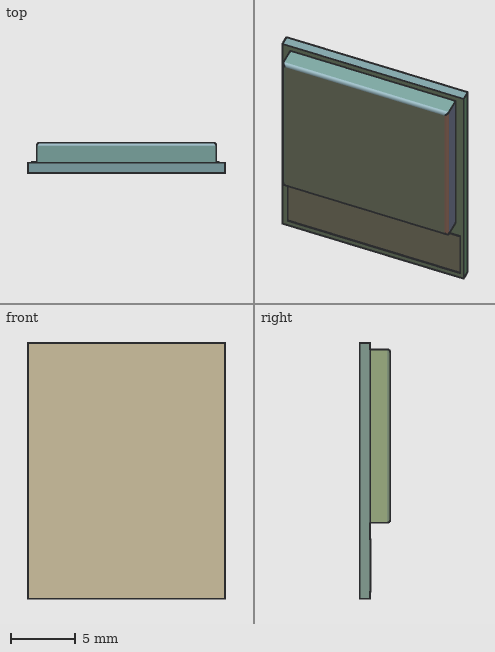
import cadquery as cq

board_width = 15.4
board_thickness = 0.82
board_height = 20.0

overall_depth = 2.4
can_width = 14.05
can_height = 13.55
can_top_margin = 0.5
can_edge_fillet = 0.25
can_depth = overall_depth - board_thickness

trace_thickness = 0.05
trace_left_margin = 0.28
trace_right_margin = 0.48
trace_height = 4.08
trace_bottom_margin = 0.55
trace_width = board_width - trace_left_margin - trace_right_margin


def block_on_board(width, depth, height, bottom, center_x=0.0):
    """Block centred on center_x, standing on the back face of the board."""
    return (
        cq.Workplane("XY")
        .box(width, depth, height, centered=(True, False, False))
        .translate((center_x, board_thickness, bottom))
    )


board = cq.Workplane("XY").box(
    board_width, board_thickness, board_height, centered=(True, False, False)
)

can_bottom = board_height - can_top_margin - can_height
can = block_on_board(can_width, can_depth, can_height, can_bottom)
can = can.faces(">Y").edges().fillet(can_edge_fillet)

trace_center_x = (trace_left_margin - trace_right_margin) / 2
trace = block_on_board(
    trace_width, trace_thickness, trace_height, trace_bottom_margin, trace_center_x
)

result = board.union(can).union(trace)